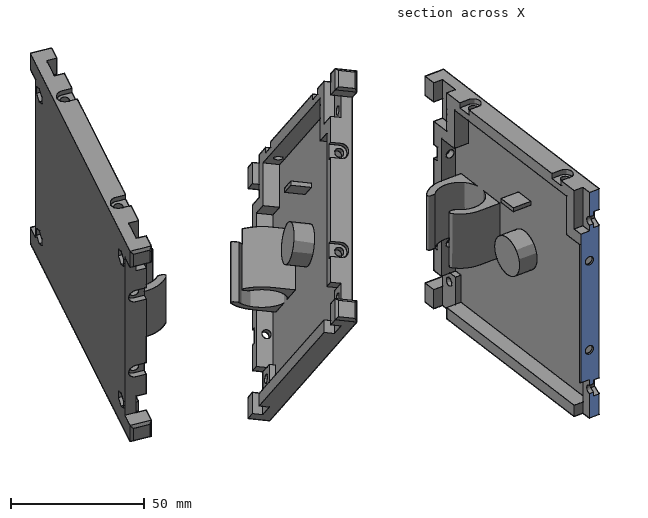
import cadquery as cq
import math

panel_size = 100.0
panel_depth = 8.5
floor_thickness = 2.0
wall_thickness = 5.0
half_panel = panel_size / 2

arm_side = panel_depth
arm_length = 6.75
arm_end_chamfer = 1.0

seat_side = arm_side
seat_depth = 4.0
seat_floor = panel_depth - seat_depth
seat_inner = half_panel - seat_side
seat_centre_x = half_panel - seat_side / 2
seat_length = 2 * seat_side
seat_end_z = half_panel - seat_length
seat_centre_z = seat_end_z + seat_side / 2
nut_across_flats = 5.95
nut_depth = 2.6
screw_diameter = 3.5

wall_hole_y = seat_floor
top_hole_x = 30.0
side_hole_z = 19.7
recess_width = 6.0
recess_depth = 2.2

clip_centre_x = 28.8
clip_centre_rise = 2.79
clip_centre_y = panel_depth + clip_centre_rise
clip_inner_radius = 9.5
clip_outer_radius = 12.6
clip_length = 24.0
clip_half_gap = 6.4
clip_tip_radius = 1.0

post_rise = 1.5
post_top = panel_depth + post_rise
post_radius = 8.1
rib_width = 8.0
rib_thickness = 1.7
rib_z = 22.5


def box(x_range, y_range, z_range):
    """Axis-aligned box from its limits along each axis."""
    corner = (x_range[0], y_range[0], z_range[0])
    size = [high - low for low, high in (x_range, y_range, z_range)]
    return cq.Workplane("XY").box(*size, centered=False).translate(corner)


def rod(radius, start, direction, length):
    """Cylinder from the centre of its first end along a direction."""
    solid = cq.Solid.makeCylinder(radius, length, cq.Vector(*start), cq.Vector(*direction))
    return cq.Workplane(obj=solid)


def both_sides(shape):
    """The shape together with its mirror image across the YZ plane."""
    return shape.union(shape.mirror("YZ"))


def make_tray():
    outer = (-half_panel, half_panel)
    inner = (-half_panel + wall_thickness, half_panel - wall_thickness)
    shell = box(outer, (0, panel_depth), outer)
    return shell.cut(box(inner, (floor_thickness, panel_depth), inner))


def make_arm(z_centre):
    """Arm on the +X side with its end face chamfered all round."""
    base = cq.Workplane("YZ", origin=(half_panel, panel_depth / 2, z_centre))
    return base.rect(arm_side, arm_side).extrude(arm_length).faces(">X").chamfer(arm_end_chamfer)


def make_upper_housing():
    """Corner block around the upper +X seat."""
    return box(
        (seat_inner - wall_thickness, half_panel),
        (0, panel_depth),
        (seat_end_z - wall_thickness, half_panel),
    )


def make_lower_pad():
    """Raised floor under the lower +X seat, which is open towards the inside of the tray."""
    return box((seat_inner, half_panel), (0, seat_floor), (-half_panel, -seat_end_z))


def make_seat_cut():
    """Pocket for the upper +X seat, open at the back, on the top edge and on the +X side."""
    return box((seat_inner, half_panel), (seat_floor, panel_depth), (seat_end_z, half_panel))


def make_nut_cut(z_centre):
    """Hexagonal nut pocket in the front face with a screw hole behind it, on the +X side."""
    corner_diameter = nut_across_flats / math.cos(math.pi / 6)
    front = cq.Workplane("XZ", origin=(seat_centre_x, 0, z_centre))
    pocket = front.transformed(rotate=(0, 0, 90)).polygon(6, corner_diameter).extrude(-nut_depth)
    return pocket.union(rod(screw_diameter / 2, (seat_centre_x, 0, z_centre), (0, 1, 0), seat_floor))


def make_wall_hole_cut():
    """Screw hole and recess for a wall whose outer face is z = 0, at x = 0."""
    centre = (0, wall_hole_y, 0)
    hole = rod(screw_diameter / 2, centre, (0, 0, -1), wall_thickness)
    recess = rod(recess_width / 2, centre, (0, 0, -1), recess_depth)
    opening = box(
        (-recess_width / 2, recess_width / 2),
        (wall_hole_y, panel_depth),
        (-recess_depth, 0),
    )
    return hole.union(recess).union(opening)


def make_clip():
    """Two curved jaws on straight legs, made as one ring with a gap in its open side."""
    half_length = clip_length / 2
    start = (clip_centre_x, clip_centre_y, -half_length)
    legs = box(
        (clip_centre_x - clip_outer_radius, clip_centre_x + clip_outer_radius),
        (0, clip_centre_y),
        (-half_length, half_length),
    )
    gap = box(
        (clip_centre_x - clip_half_gap, clip_centre_x + clip_half_gap),
        (clip_centre_y, clip_centre_y + clip_outer_radius),
        (-half_length, half_length),
    )
    below_floor = box(
        (clip_centre_x - clip_outer_radius, clip_centre_x + clip_outer_radius),
        (-clip_outer_radius, 0),
        (-half_length, half_length),
    )
    clip = (
        rod(clip_outer_radius, start, (0, 0, 1), clip_length)
        .union(legs)
        .cut(below_floor)
        .cut(rod(clip_inner_radius, start, (0, 0, 1), clip_length))
        .cut(gap)
    )
    tip_y = clip_centre_y + math.sqrt(clip_outer_radius**2 - clip_half_gap**2)
    for side in (-1, 1):
        tip = (clip_centre_x + side * clip_half_gap, tip_y, 0)
        clip = clip.edges(cq.selectors.NearestToPointSelector(tip)).fillet(clip_tip_radius)
    return clip


def make_posts():
    round_post = rod(post_radius, (0, 0, 0), (0, 1, 0), post_top)
    rib = box(
        (-rib_width / 2, rib_width / 2),
        (0, post_top),
        (rib_z - rib_thickness / 2, rib_z + rib_thickness / 2),
    )
    return round_post.union(rib)


result = make_tray()
result = result.union(both_sides(make_upper_housing()))
result = result.union(both_sides(make_lower_pad()))
seat_cut = both_sides(make_seat_cut())
result = result.cut(seat_cut).cut(seat_cut.mirror("XY"))

arm_centre_z = half_panel - arm_side / 2
for level in (-1, 1):
    result = result.union(both_sides(make_arm(level * arm_centre_z)))
    result = result.cut(both_sides(make_nut_cut(level * seat_centre_z)))

wall_hole = make_wall_hole_cut()
side_wall_hole = wall_hole.rotate((0, 0, 0), (0, 1, 0), 90).translate((half_panel, 0, 0))
for direction in (-1, 1):
    result = result.cut(wall_hole.translate((direction * top_hole_x, 0, half_panel)))
    result = result.cut(both_sides(side_wall_hole.translate((0, 0, direction * side_hole_z))))

result = result.union(make_clip()).union(make_posts())